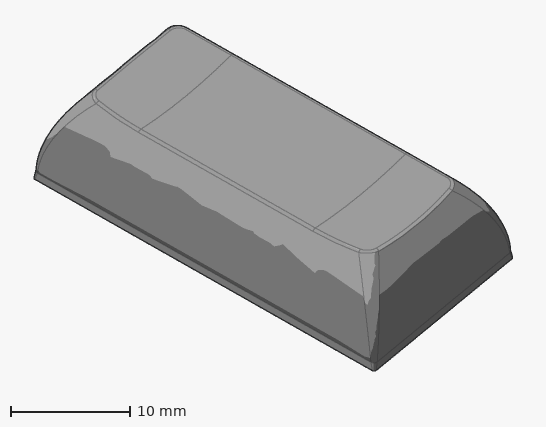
import cadquery as cq
import math

length = 37.3
width = 18.32

skirt_height = 0.8
skirt_inset = 0.07

wall_radius = 12.3

corner_radius_base = 0.22
corner_radius_skirt = 0.37
corner_radius_top = 1.25

dish_radius = 39.92
dish_floor = 8.32
trough_length = 19.03

rim_fillet = 0.37

loft_height = 9.7
wall_sections = 6


def rounded_section(z, inset, corner_radius):
    """Rounded rectangle at height z, set in from the base outline."""
    section = cq.Sketch().rect(length - 2 * inset, width - 2 * inset)
    section = section.vertices().fillet(corner_radius)
    return section.moved(cq.Location(cq.Vector(0, 0, z)))


def make_skirt():
    """Straight-sided band at the foot of the body."""
    bottom = rounded_section(0, 0, corner_radius_base)
    top = rounded_section(skirt_height, skirt_inset, corner_radius_skirt)
    return cq.Workplane("XY").placeSketch(bottom, top).loft(ruled=True)


def make_walls():
    """Solid inside the curved walls, with corners that widen as they rise."""
    sections = []
    for i in range(wall_sections):
        share = i / (wall_sections - 1)
        rise = share * (loft_height - skirt_height)
        lean = wall_radius - math.sqrt(wall_radius**2 - rise**2)
        corner_radius = corner_radius_skirt + share * (corner_radius_top - corner_radius_skirt)
        sections.append(rounded_section(skirt_height + rise, skirt_inset + lean, corner_radius))
    return cq.Workplane("XY").placeSketch(*sections).loft()


def make_dish():
    """Cylinder with a half sphere on each end, lying along X above the body."""
    axis_height = dish_floor + dish_radius
    dish = (
        cq.Workplane("YZ", origin=(-trough_length / 2, 0, axis_height))
        .circle(dish_radius)
        .extrude(trough_length)
    )
    for side in (-1, 1):
        trough_end = side * trough_length / 2
        bowl = cq.Workplane("XY").sphere(dish_radius).translate((trough_end, 0, axis_height))
        outer_half = cq.Workplane("XY").box(2 * dish_radius, 2 * dish_radius, 2 * dish_radius)
        outer_half = outer_half.translate((trough_end + side * dish_radius, 0, axis_height))
        dish = dish.union(bowl.intersect(outer_half))
    return dish


body = make_skirt().union(make_walls())
dished = body.cut(make_dish())
near_top = cq.selectors.BoxSelector(
    (-length, -width, dish_floor), (length, width, loft_height), boundingbox=True
)
dish_seams = cq.selectors.TypeSelector("CIRCLE")
result = dished.edges(near_top - dish_seams).fillet(rim_fillet)